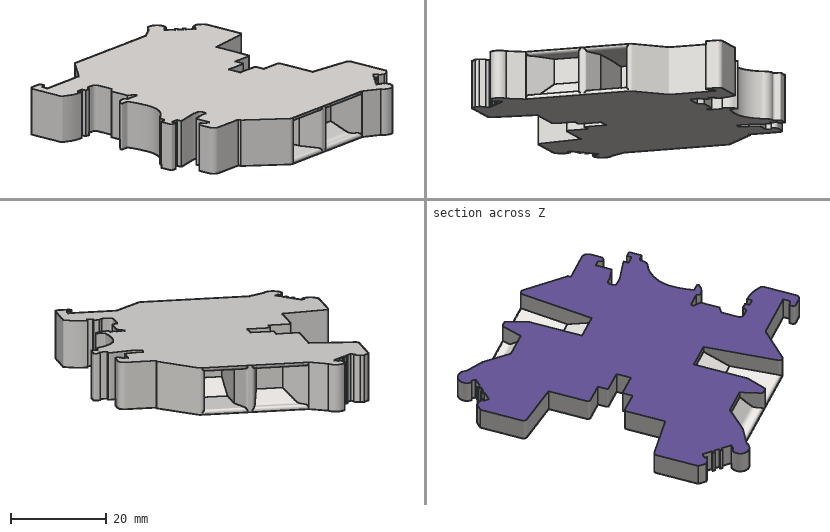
import cadquery as cq
import math

LENGTH = 65.3
HEIGHT = 56.5
THICKNESS = 10.2

BODY_HALF = 29.3
BODY_TOP = 42.6
BODY_BOTTOM = 19.0
SHOULDER_Y = 46.1
STEP_Y = 41.15
NOTCH_Y = 36.1
STEP_HALF = 3.85
NOTCH_HALF = 1.55
CORNER_ROUND = 0.8
FOOT_ROUND = 1.45
EDGE_ROUND = 0.85
SMALL_ROUND = 0.45
ARCH_TOP = 6.65

GROOVE_START = (-28.65, 48.1)
GROOVE_LENGTH = 6.5
GROOVE_DEPTH = 1.05
GROOVE_LIP = 0.5
TOOTH_SIZE = 0.6
TOOTH_PLACES = (2.15, 3.85)

LOBE_RADIUS = 1.95
LOBE_CENTRE = (LOBE_RADIUS - LENGTH / 2, 48.0)

RIM_ROUND = 0.65
RIM_CLEARANCE = 0.1
ENTRY_FLOOR = 1.0
ENTRY_CEILING = 9.35
BACK_FLOOR = 3.8
BACK_CEILING = 9.15


def rounded_wire(plane, corners):
    """Closed outline on a plane through corners (u, v) or (u, v, radius)."""
    path = cq.Workplane(plane)
    count = len(corners)
    for i, corner in enumerate(corners):
        point = cq.Vector(corner[0], corner[1])
        radius = corner[2] if len(corner) > 2 else 0
        stops = [point]
        if radius:
            before = cq.Vector(*corners[i - 1][:2])
            after = cq.Vector(*corners[(i + 1) % count][:2])
            to_before = (before - point).normalized()
            to_after = (after - point).normalized()
            half_angle = to_before.getAngle(to_after) / 2
            setback = radius / math.tan(half_angle)
            bisector = (to_before + to_after).normalized()
            middle = point + bisector * (radius / math.sin(half_angle) - radius)
            stops = [point + to_before * setback, middle, point + to_after * setback]
        start = stops[0].toTuple()[:2]
        path = path.lineTo(*start) if i else path.moveTo(*start)
        if radius:
            path = path.threePointArc(stops[1].toTuple()[:2], stops[2].toTuple()[:2])
    return path.close()


def groove_point(along, out):
    """Point at a distance along the left groove floor and out from it."""
    diagonal = math.sqrt(0.5)
    return (
        GROOVE_START[0] + (along - out) * diagonal,
        GROOVE_START[1] + (along + out) * diagonal,
    )


def groove_block(along, length, height):
    """Block standing on the left groove floor, through the whole thickness."""
    corners = [
        groove_point(along, 0),
        groove_point(along + length, 0),
        groove_point(along + length, height),
        groove_point(along, height),
    ]
    return rounded_wire("XY", corners).extrude(THICKNESS)


def mirrored(solid):
    return solid.mirror("YZ")


def body():
    upper_left = [
        (-BODY_HALF, BODY_TOP),
        (-31.55, 46.3),
        LOBE_CENTRE,
        GROOVE_START,
        groove_point(GROOVE_LENGTH - GROOVE_LIP, 0),
        groove_point(GROOVE_LENGTH - GROOVE_LIP, GROOVE_DEPTH),
        (-25.7, 54.4),
        (-25.7, 55.25),
        (-24.5, HEIGHT),
        (-14.35, HEIGHT, EDGE_ROUND),
        (-13.05, SHOULDER_Y),
        (-STEP_HALF, SHOULDER_Y, 0.65),
        (-STEP_HALF, STEP_Y),
        (-NOTCH_HALF, STEP_Y, 0.3),
        (-NOTCH_HALF, NOTCH_Y),
    ]
    upper_right = [(-x, *rest) for x, *rest in reversed(upper_left)]
    right_foot = [
        (BODY_HALF, BODY_BOTTOM, CORNER_ROUND),
        (21.8, 11.5),
        (21.15, 11.5),
        (21.15, 3.5, FOOT_ROUND),
        (16.45, 3.5, 1.05),
        (16.45, 4.7),
        (17.45, 5.1, 0.2),
        (17.45, 6.3),
        (13.85, 6.3, 0.25),
        (13.25, 9.15),
        (13.25, 10.6, 0.5),
        (11.35, 10.6, 0.5),
        (11.35, 8.4),
        (12.4, 3.6),
        (12.4, 3.15),
        (11.35, 3.15),
        (11.35, 1.45),
        (12.4, 1.45),
        (12.4, 0, 0.3),
        (9.5, 0, 0.3),
        (9.5, 1.55, 0.5),
        (7.45, 1.55, 1.95),
    ]
    rail_arch = [
        (6.9, 3.1),
        (4.5, ARCH_TOP, 7.7),
        (-1.9, ARCH_TOP, 19.6),
        (-4.5, 6.1, 0.25),
    ]
    left_hook = [
        (-4.5, 4.25, 0.2),
        (-4.9, 4.25, 0.2),
        (-6.1, 5.4, 1.95),
        (-6.35, 7.1, 0.25),
        (-5.55, 7.45),
        (-5.55, 10.65, 0.3),
        (-6.1, 10.65, 0.2),
        (-7.2, 9.2),
        (-11.4, 9.2),
        (-12.35, 10.5),
        (-17.0, 10.5, EDGE_ROUND),
        (-17.0, 8.15),
        (-16.0, 7.45),
        (-16.0, 6.3),
        (-17.0, 6.3),
        (-17.0, 4.9),
        (-15.95, 4.9),
        (-15.95, 2.75, 7.2),
        (-17.45, 0, 0.5),
        (-26.2, 0, 1.05),
        (-26.2, 3.5, 0.6),
        (-24.9, 3.5, 0.4),
        (-24.6, 2.3, 0.25),
        (-23.1, 2.3),
        (-23.1, 12.75, SMALL_ROUND),
        (-BODY_HALF, BODY_BOTTOM, CORNER_ROUND),
    ]
    outline = upper_left + upper_right + right_foot + rail_arch + left_hook
    return rounded_wire("XY", outline).extrude(THICKNESS)


def add_ears(solid):
    """Round lobes, undercut marker grooves and the small teeth on the groove floors."""
    lobe = cq.Workplane("XY").center(*LOBE_CENTRE).circle(LOBE_RADIUS).extrude(THICKNESS)
    groove = groove_block(0, GROOVE_LENGTH, GROOVE_DEPTH)
    solid = solid.union(lobe).union(mirrored(lobe)).cut(groove).cut(mirrored(groove))
    for place in TOOTH_PLACES:
        tooth = groove_block(place, TOOTH_SIZE, TOOTH_SIZE)
        solid = solid.union(tooth).union(mirrored(tooth))
    return solid


def entry_cutter(plan, ramp_depth, depth, ramp_round=0):
    """Left wire entry: a plan shape limited to the height between floor and ceiling.

    The floor runs level up to ramp_depth and then rises to the back wall at depth. A rounded
    hollow of radius ramp_round may ease the start of the rise.
    """
    face = -BODY_HALF
    flare = RIM_ROUND + RIM_CLEARANCE
    section = [
        (face - 0.65, ENTRY_FLOOR - flare),
        (face, ENTRY_FLOOR - flare),
        (face, ENTRY_FLOOR, RIM_ROUND),
        (face + ramp_depth, ENTRY_FLOOR, ramp_round),
        (face + depth, BACK_FLOOR),
        (face + depth, BACK_CEILING),
        (face + ramp_depth, ENTRY_CEILING),
        (face, ENTRY_CEILING, RIM_ROUND),
        (face, ENTRY_CEILING + flare),
        (face - 0.65, ENTRY_CEILING + flare),
    ]
    side_shape = rounded_wire("XZ", section).extrude(-HEIGHT)
    plan_shape = rounded_wire("XY", plan).extrude(THICKNESS)
    return plan_shape.intersect(side_shape)


def screw_entry():
    """Upper entry: a short funnel whose top side starts at the corner of the face."""
    face = -BODY_HALF
    depth = 4.7
    mouth_low = 30.75
    mouth_high = 42.5
    flare = RIM_ROUND + RIM_CLEARANCE
    plan = [
        (face - 0.65, mouth_low - flare),
        (face, mouth_low - flare),
        (face, mouth_low, RIM_ROUND),
        (face + depth, 32.25),
        (face + depth, 37.95),
        (face, mouth_high),
        (face - 0.65, mouth_high),
    ]
    return entry_cutter(plan, 1.95, depth, ramp_round=1.3)


def wire_entry():
    """Lower entry: a funnel that leads into a long, slightly narrowing hole."""
    face = -BODY_HALF
    depth = 16.7
    funnel_depth = 4.7
    mouth_low = 20.1
    mouth_high = 29.2
    hole_high = 27.5
    upper_rim_round = 0.45
    flare = RIM_ROUND + RIM_CLEARANCE
    plan = [
        (face - 0.65, mouth_low - flare),
        (face, mouth_low - flare),
        (face, mouth_low, RIM_ROUND),
        (face + depth, 21.9),
        (face + depth, hole_high),
        (face + funnel_depth, hole_high),
        (face, mouth_high, upper_rim_round),
        (face, mouth_high + flare),
        (face - 0.65, mouth_high + flare),
    ]
    return entry_cutter(plan, 11.1, depth)


result = add_ears(body())
for entry in (screw_entry(), wire_entry()):
    result = result.cut(entry).cut(mirrored(entry))